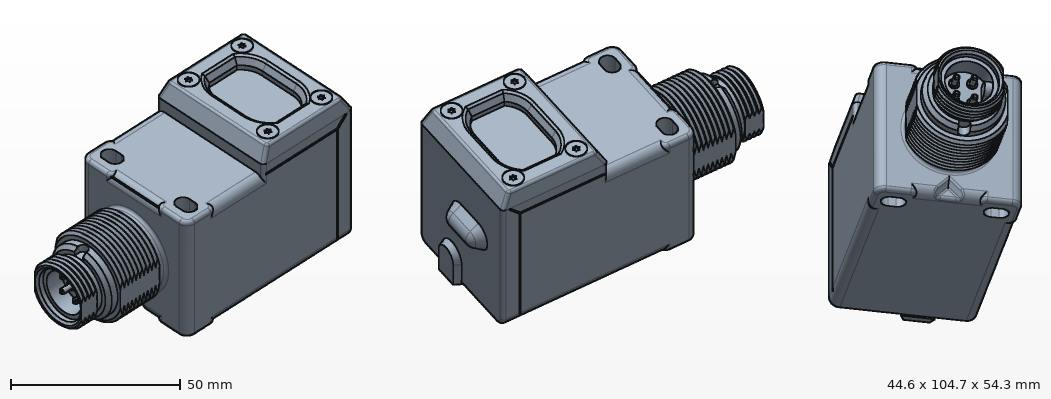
import cadquery as cq
import math

SIDE = 44.6
HALF = SIDE / 2
LENGTH = 68.9
CORNER_R = 3.2
PAD_EDGE_R = 1.4
BACK_R = 1.3

SIDE_PAD_END = 9.9
FRONT_PAD_END = 11.5
PAD_CURVE = 2.4

HEAD_FRONT = 31.6
HEAD_SHOULDER_Z = 48.9
HEAD_TOP_Z = 54.1
HEAD_SIDE_SLOPE = 1.5
HEAD_END_SLOPE = 3.0
HEAD_TOP_R = 1.0
HEAD_MID_Y = (HEAD_FRONT + LENGTH) / 2

WINDOW_HALF_X = 15.9
WINDOW_HALF_Y = 11.5
WINDOW_FLAT_X = 6.5
WINDOW_FLAT_Y = 6.5
WINDOW_RIM_DEPTH = 0.5
WINDOW_RIM_WIDTH = 0.9
WINDOW_SLOPE_DEPTH = 2.6
WINDOW_SLOPE_WIDTH = 1.4
WINDOW_DEPTH = 4.4
WINDOW_SHIFT_Y = 0.2

SCREW_X = 16.6
SCREW_Y = 11.1
SCREW_R = 3.2
SCREW_SEAT = 1.0
SCREW_RISE = 0.2
SOCKET_R = 1.2
SOCKET_INNER_R = 0.7
SOCKET_DEPTH = 0.6
SOCKET_POINTS = 6

SEAM_Y = 62.4
SEAM_WIDTH = 0.3
SEAM_DEPTH = 0.2
SEAM_MITRE = 3.6

SLOT_X = 15.5
SLOT_Y = 6.4
SLOT_LENGTH = 7.5
SLOT_WIDTH = 5.1

LAMP_X = -4.7
LAMP_Z = 28.4
LAMP_SPAN = 9.2
LAMP_BASE_R = 4.9
LAMP_HEIGHT = 4.5
LAMP_DOME_R = 3.0
LAMP_DOME_START = 2.9
TAB_X = 4.8
TAB_CENTRE_Z = 8.4
TAB_R = 5.1
TAB_HEIGHT = 2.2
TAB_TAPER = 28

POCKET_TOP_Z = 6.5
POCKET_DEPTH = 1.8
POCKET_WALL_ANGLE = 45
POCKET_FLOOR_R = 0.8
POCKET_FOOT_R = 1.2

LIP_Z = 43.2
LIP_HALF_LENGTH = 10.0
LIP_WIDTH = 0.3
LIP_DEPTH = 0.9

AXIS_Z = 22.1
FLARE_R = 14.7
COLLAR_R = 13.6
BIG_THREAD_Y = 2.7
BIG_THREAD_END = 18.9
BIG_CREST_R = 15.2
BIG_ROOT_R = 14.1
BIG_FLAT_X = 13.7
PITCH = 1.6
RING_R = 12.6
RING_END = 22.7
RING_CHAMFER = 1.4
NECK_R = 9.7
SMALL_THREAD_Y = 24.7
TIP_Y = 31.3
SMALL_CREST_R = 11.1
SMALL_ROOT_R = 10.4
SMALL_FLAT_X = 9.8
NOTCH_WIDTH = 3.6
NOTCH_START = 19.3

MOUTH_R = 8.8
MOUTH_DEPTH = 2.5
MOUTH_CHAMFER = 0.8
BORE_R = 7.3
BORE_DEPTH = 8.8
PIN_R = 0.9
PIN_HEIGHT = 4.4
PIN_TIP_CHAMFER = 0.4
PIN_COLLAR_R = 1.6
PIN_COLLAR_HEIGHT = 0.4
PIN_PLACES = [(-3.2, 2.8), (-3.2, -2.8), (2.2, 3.3), (2.2, -3.3)]
KEY_INNER_X = 4.9
KEY_HALF_WIDTH = 2.3
KEY_HEIGHT = 5.8


def housing_core():
    """Box with generous side and front edges and tighter rear edges."""
    box = cq.Workplane("XY").box(SIDE, LENGTH, SIDE, centered=(True, False, False))
    box = box.edges("|Y or <Y").fillet(CORNER_R)
    return box.faces(">Y").edges().fillet(BACK_R)


def pad_plate():
    """Plate that squares up the front corners, leaving the middle of each edge rounded."""
    inner = HALF - CORNER_R
    rear = LENGTH - CORNER_R
    front_x = FRONT_PAD_END - PAD_CURVE
    side_y = SIDE_PAD_END + PAD_CURVE
    bulge = PAD_CURVE * (1 - math.sqrt(0.5))
    half = (
        cq.Workplane("XY")
        .moveTo(0, CORNER_R)
        .lineTo(front_x, CORNER_R)
        .lineTo(front_x, PAD_CURVE)
        .threePointArc((front_x + bulge, bulge), (FRONT_PAD_END, 0))
        .lineTo(inner, 0)
        .radiusArc((HALF, CORNER_R), -CORNER_R)
        .lineTo(HALF, SIDE_PAD_END)
        .threePointArc((HALF - bulge, side_y - bulge), (HALF - PAD_CURVE, side_y))
        .lineTo(inner, side_y)
        .lineTo(inner, rear)
        .lineTo(0, rear)
        .close()
        .extrude(CORNER_R)
    )
    plate = half.union(half.mirror("YZ"))
    return plate.faces(">Z").edges().fillet(PAD_EDGE_R).translate((0, 0, SIDE - CORNER_R))


def lens_head():
    """Block with sloping upper sides and softened edges."""
    depth = LENGTH - HEAD_FRONT
    base_z = SIDE - CORNER_R
    base = (
        cq.Workplane("XY", origin=(0, HEAD_MID_Y, base_z))
        .rect(SIDE, depth)
        .extrude(HEAD_SHOULDER_Z - base_z)
        .edges("|Z")
        .fillet(BACK_R)
    )
    upper = (
        cq.Workplane("XY", origin=(0, HEAD_MID_Y, HEAD_SHOULDER_Z))
        .rect(SIDE, depth)
        .workplane(offset=HEAD_TOP_Z - HEAD_SHOULDER_Z)
        .rect(SIDE - 2 * HEAD_SIDE_SLOPE, depth - 2 * HEAD_END_SLOPE)
        .loft(ruled=True)
    )
    upper = upper.edges("not #Z").fillet(BACK_R)
    upper = upper.faces(">Z").edges().fillet(HEAD_TOP_R)
    return base.union(upper)


def window_outline(inset, z):
    """Window outline, moved inwards by inset: four flats joined by arcs."""
    half_x = WINDOW_HALF_X - inset
    half_y = WINDOW_HALF_Y - inset
    run = WINDOW_HALF_X - WINDOW_FLAT_X
    drop = WINDOW_HALF_Y - WINDOW_FLAT_Y
    radius = (run**2 + drop**2) / (2 * drop) - inset
    flat_y = half_y - radius + math.sqrt(radius**2 - (half_x - WINDOW_FLAT_X) ** 2)
    return (
        cq.Workplane("XY", origin=(0, HEAD_MID_Y + WINDOW_SHIFT_Y, z))
        .moveTo(-WINDOW_FLAT_X, half_y)
        .lineTo(WINDOW_FLAT_X, half_y)
        .radiusArc((half_x, flat_y), radius)
        .lineTo(half_x, -flat_y)
        .radiusArc((WINDOW_FLAT_X, -half_y), radius)
        .lineTo(-WINDOW_FLAT_X, -half_y)
        .radiusArc((-half_x, -flat_y), radius)
        .lineTo(-half_x, flat_y)
        .radiusArc((-WINDOW_FLAT_X, half_y), radius)
        .close()
        .wire()
        .val()
    )


def window_pocket():
    """Two sloping bands above a straight-walled recess with a flat floor."""
    floor_inset = WINDOW_RIM_WIDTH + WINDOW_SLOPE_WIDTH
    slope_z = HEAD_TOP_Z - WINDOW_SLOPE_DEPTH
    top = window_outline(0, HEAD_TOP_Z)
    rim = window_outline(WINDOW_RIM_WIDTH, HEAD_TOP_Z - WINDOW_RIM_DEPTH)
    slope_end = window_outline(floor_inset, slope_z)
    floor = window_outline(floor_inset, HEAD_TOP_Z - WINDOW_DEPTH)
    pocket = cq.Workplane("XY")
    for upper, lower in [(top, rim), (rim, slope_end), (slope_end, floor)]:
        pocket = pocket.union(cq.Workplane(cq.Solid.makeLoft([upper, lower], True)))
    return pocket


def screw_heads():
    places = [(x, y) for x in (-SCREW_X, SCREW_X) for y in (-SCREW_Y, SCREW_Y)]
    return (
        cq.Workplane("XY", origin=(0, HEAD_MID_Y, HEAD_TOP_Z - SCREW_SEAT))
        .pushPoints(places)
        .circle(SCREW_R)
        .extrude(SCREW_SEAT + SCREW_RISE)
    )


def screw_sockets():
    """Star-shaped drive sockets."""
    star = []
    for i in range(2 * SOCKET_POINTS):
        radius = SOCKET_R if i % 2 == 0 else SOCKET_INNER_R
        angle = math.pi * (i / SOCKET_POINTS + 0.5)
        star.append((radius * math.cos(angle), radius * math.sin(angle)))
    top_z = HEAD_TOP_Z + SCREW_RISE
    socket = cq.Workplane("XY").polyline(star).close().extrude(-SOCKET_DEPTH)
    sockets = cq.Workplane("XY")
    for x in (-SCREW_X, SCREW_X):
        for y in (-SCREW_Y, SCREW_Y):
            sockets = sockets.union(socket.translate((x, HEAD_MID_Y + y, top_z)))
    return sockets


def cover_seam():
    """Shallow groove on each side face: under the head, then down, with a mitre at the corner."""
    start_y = HEAD_FRONT + BACK_R
    outer_y = SEAM_Y + SEAM_WIDTH
    outer_z = SIDE + SEAM_WIDTH
    groove = (
        cq.Workplane("YZ", origin=(-HALF, 0, 0))
        .moveTo(start_y, outer_z)
        .lineTo(SEAM_Y, outer_z)
        .lineTo(SEAM_Y + SEAM_MITRE, outer_z + SEAM_MITRE)
        .lineTo(outer_y + SEAM_MITRE, SIDE + SEAM_MITRE)
        .lineTo(outer_y, SIDE)
        .lineTo(outer_y, 0)
        .lineTo(SEAM_Y, 0)
        .lineTo(SEAM_Y, SIDE)
        .lineTo(start_y, SIDE)
        .close()
        .extrude(SEAM_DEPTH)
    )
    return groove.union(groove.mirror("YZ"))


def mounting_slots():
    return (
        cq.Workplane("XY")
        .pushPoints([(-SLOT_X, SLOT_Y), (SLOT_X, SLOT_Y)])
        .slot2D(SLOT_LENGTH, SLOT_WIDTH)
        .extrude(SIDE)
    )


def rear_plane(x, z):
    """Plane on the rear face looking out along +Y, with its own Y axis along Z."""
    return cq.Workplane(cq.Plane(origin=(x, LENGTH, z), xDir=(-1, 0, 0), normal=(0, 1, 0)))


def rear_lamp():
    """Domed bar: one cross-section swept straight, then revolved at both ends."""
    dome_rise = LAMP_HEIGHT - LAMP_DOME_START
    dome_radius = (LAMP_DOME_R**2 + dome_rise**2) / (2 * dome_rise)
    section = (
        cq.Workplane("XY")
        .lineTo(LAMP_BASE_R, 0)
        .lineTo(LAMP_DOME_R, LAMP_DOME_START)
        .radiusArc((0, LAMP_HEIGHT), -dome_radius)
        .close()
        .wire()
        .val()
    )
    end = cq.Workplane("XY").add(section).toPending().revolve(360, (0, 0, 0), (0, 1, 0))
    half_bar = cq.Workplane("XY").add(section).toPending().extrude(LAMP_SPAN)
    half_bar = half_bar.rotate((0, 0, 0), (0, 1, 0), 90)
    bar = half_bar.union(half_bar.mirror("XY"))
    lamp = bar.union(end).union(end.translate((LAMP_SPAN, 0, 0)))
    return lamp.translate((LAMP_X - LAMP_SPAN / 2, LENGTH, LAMP_Z))


def rear_tab():
    """Round-topped tab running down to the underside, with sloping flanks."""
    tab = (
        rear_plane(TAB_X, TAB_CENTRE_Z)
        .slot2D(2 * (TAB_CENTRE_Z + TAB_R), 2 * TAB_R, 90)
        .extrude(TAB_HEIGHT, taper=TAB_TAPER)
        .translate((0, 0, -TAB_CENTRE_Z))
    )
    return tab.intersect(cq.Workplane("XY").box(SIDE, 2 * SIDE + LENGTH, SIDE, centered=(True, True, False)))


def face_plane(y):
    """Plane facing -Y on the connector axis, y in front of the housing face."""
    return cq.Workplane(cq.Plane(origin=(0, -y, AXIS_Z), xDir=(1, 0, 0), normal=(0, -1, 0)))


def triangle_pocket():
    """Right-angled triangle, apex up, running out through the underside."""
    drop = POCKET_TOP_Z + POCKET_DEPTH * 3
    apex_z = POCKET_TOP_Z - AXIS_Z
    pocket = (
        cq.Workplane(cq.Plane(origin=(0, 0, AXIS_Z), xDir=(-1, 0, 0), normal=(0, 1, 0)))
        .polyline([(0, apex_z), (drop, apex_z - drop), (-drop, apex_z - drop)])
        .close()
        .extrude(POCKET_DEPTH, taper=POCKET_WALL_ANGLE)
    )
    return pocket.faces(">Y").edges().fillet(POCKET_FLOOR_R)


def lip_groove():
    return (
        cq.Workplane("XY", origin=(0, 0, LIP_Z))
        .rect(2 * LIP_HALF_LENGTH, 2 * LIP_DEPTH)
        .extrude(LIP_WIDTH)
    )


def threaded_length(start, end, crest_r, root_r, flat_x):
    """Ridged barrel from start to end along -Y, flattened on both X sides."""
    teeth = round((end - start) / PITCH)
    pitch = (end - start) / teeth
    outline = [(0, -start), (root_r, -start)]
    for i in range(teeth):
        outline.append((crest_r, -start - (i + 0.5) * pitch))
        outline.append((root_r, -start - (i + 1) * pitch))
    outline.append((0, -end))
    barrel = (
        cq.Workplane("XY")
        .polyline(outline)
        .close()
        .revolve(360, (0, 0, 0), (0, 1, 0))
        .translate((0, 0, AXIS_Z))
    )
    flats = face_plane(start).rect(2 * flat_x, 3 * crest_r).extrude(end - start)
    return barrel.intersect(flats)


def connector_barrel():
    """Flared collar, two threads, and the notched ring and neck between them."""
    flare = FLARE_R - COLLAR_R
    collar = (
        cq.Workplane("XY")
        .lineTo(FLARE_R, 0)
        .radiusArc((COLLAR_R, -flare), -flare)
        .lineTo(COLLAR_R, -BIG_THREAD_Y)
        .lineTo(0, -BIG_THREAD_Y)
        .close()
        .revolve(360, (0, 0, 0), (0, 1, 0))
        .translate((0, 0, AXIS_Z))
    )
    ring = face_plane(BIG_THREAD_END).circle(RING_R).extrude(RING_END - BIG_THREAD_END)
    ring = ring.faces("<Y").edges().chamfer(RING_CHAMFER).cut(ring_notches())
    neck = face_plane(BIG_THREAD_END).circle(NECK_R).extrude(SMALL_THREAD_Y - BIG_THREAD_END)
    big = threaded_length(BIG_THREAD_Y, BIG_THREAD_END, BIG_CREST_R, BIG_ROOT_R, BIG_FLAT_X)
    small = threaded_length(SMALL_THREAD_Y, TIP_Y, SMALL_CREST_R, SMALL_ROOT_R, SMALL_FLAT_X)
    return collar.union(big).union(ring).union(neck).union(small)


def ring_notches():
    """Round-ended keyways at the top and bottom of the ring."""
    radius = NOTCH_WIDTH / 2
    centre_y = -NOTCH_START - radius
    slot = (
        cq.Workplane("XY", origin=(0, 0, AXIS_Z + NECK_R))
        .moveTo(-radius, centre_y)
        .threePointArc((0, -NOTCH_START), (radius, centre_y))
        .lineTo(radius, -RING_END)
        .lineTo(-radius, -RING_END)
        .close()
        .extrude(RING_R - NECK_R)
    )
    return slot.union(slot.mirror("XY", (0, 0, AXIS_Z)))


def socket_bore():
    """Wide mouth with a chamfered rim, then the narrower bore."""
    mouth = face_plane(TIP_Y - MOUTH_DEPTH).circle(MOUTH_R).extrude(MOUTH_DEPTH)
    rim = (
        face_plane(TIP_Y - MOUTH_CHAMFER)
        .circle(MOUTH_R)
        .workplane(offset=MOUTH_CHAMFER)
        .circle(MOUTH_R + MOUTH_CHAMFER)
        .loft()
    )
    bore = face_plane(TIP_Y - BORE_DEPTH).circle(BORE_R).extrude(BORE_DEPTH)
    return mouth.union(rim).union(bore)


def contact_pins():
    """Pins with bevelled tips, each standing in a low collar on the bore floor."""
    floor_y = TIP_Y - BORE_DEPTH
    pins = face_plane(floor_y).pushPoints(PIN_PLACES).circle(PIN_R).extrude(PIN_HEIGHT)
    pins = pins.faces("<Y").edges().chamfer(PIN_TIP_CHAMFER)
    collars = face_plane(floor_y).pushPoints(PIN_PLACES).circle(PIN_COLLAR_R).extrude(PIN_COLLAR_HEIGHT)
    return pins.union(collars)


def coding_key():
    """Round-nosed rib on the +X wall of the bore."""
    floor_y = TIP_Y - BORE_DEPTH
    nose_y = floor_y + KEY_HEIGHT - KEY_HALF_WIDTH
    return (
        cq.Workplane("YZ", origin=(KEY_INNER_X, 0, AXIS_Z))
        .moveTo(-floor_y, KEY_HALF_WIDTH)
        .lineTo(-nose_y, KEY_HALF_WIDTH)
        .threePointArc((-floor_y - KEY_HEIGHT, 0), (-nose_y, -KEY_HALF_WIDTH))
        .lineTo(-floor_y, -KEY_HALF_WIDTH)
        .close()
        .extrude(BORE_R - KEY_INNER_X)
        .intersect(face_plane(floor_y).circle(BORE_R).extrude(KEY_HEIGHT))
    )


result = housing_core()
plate = pad_plate()
result = result.union(plate)
result = result.union(plate.mirror("XY", (0, 0, HALF)))
result = result.union(lens_head()).cut(window_pocket())
result = result.union(screw_heads()).cut(screw_sockets())
result = result.union(rear_lamp()).cut(cover_seam())
result = result.cut(mounting_slots())
result = result.union(rear_tab())
result = result.cut(triangle_pocket())
result = result.edges(cq.NearestToPointSelector((0, POCKET_DEPTH, 0))).fillet(POCKET_FOOT_R)
result = result.cut(lip_groove())
result = result.union(connector_barrel()).cut(socket_bore())
result = result.union(contact_pins()).union(coding_key())